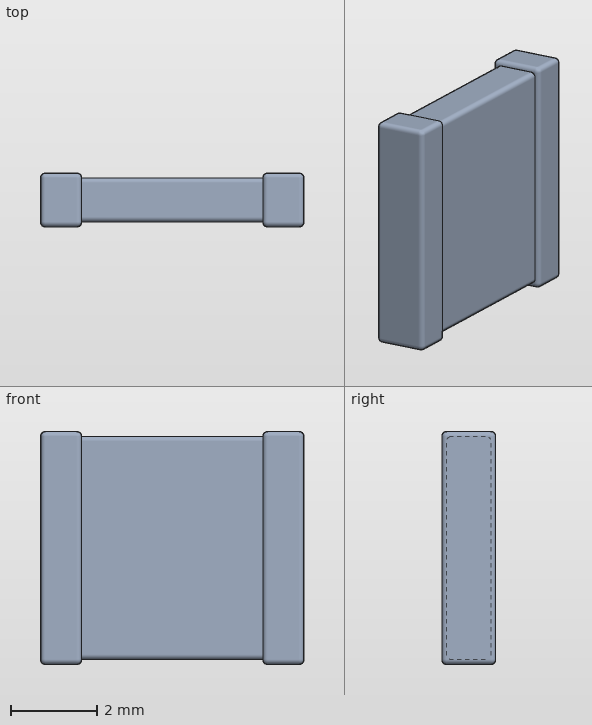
import cadquery as cq

LENGTH = 6.1
DEPTH = 1.25
HEIGHT = 5.4

TERMINAL_LENGTH = 0.95

CORE_LENGTH = LENGTH - 2 * TERMINAL_LENGTH
CORE_DEPTH = 1.025
TERMINAL_STEP = (DEPTH - CORE_DEPTH) / 2
CORE_HEIGHT = HEIGHT - 2 * TERMINAL_STEP

EDGE_RADIUS = TERMINAL_STEP


def make_core():
    """Flat block spanning the gap between the terminals, its long edges rounded."""
    block = cq.Workplane("XY").box(CORE_LENGTH, CORE_DEPTH, CORE_HEIGHT)
    return block.edges("|X").fillet(EDGE_RADIUS)


def make_terminal(side):
    """End block with every edge rounded; side is -1 or +1 along X."""
    center_x = side * (LENGTH - TERMINAL_LENGTH) / 2
    block = cq.Workplane("XY").box(TERMINAL_LENGTH, DEPTH, HEIGHT).edges().fillet(EDGE_RADIUS)
    return block.translate((center_x, 0, 0))


core = make_core()
terminals = [make_terminal(side) for side in (-1, 1)]

result = cq.Compound.makeCompound([core.val(), *[terminal.val() for terminal in terminals]])